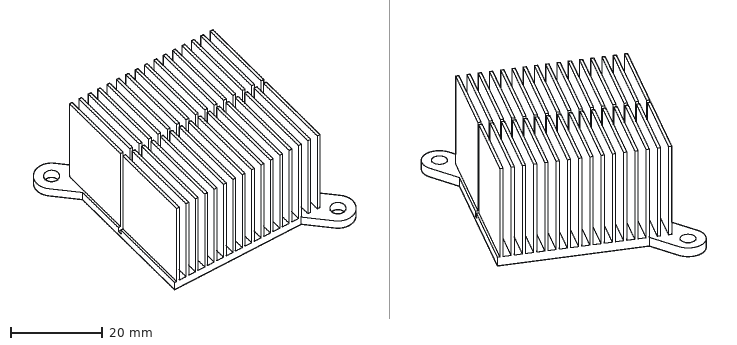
import cadquery as cq
import math

overall_span = 53.0
overall_height = 25.0

base_side = 40.0
base_thickness = 2.3

ear_diameter = 8.0
ear_hole_diameter = 3.5
strap_angle = 45.0
ear_spacing = overall_span - ear_diameter
strap_length = ear_spacing * math.sqrt(2) + ear_diameter

fin_count = 16
fin_thickness = 0.75
fin_pitch = 2.55

slot_width = 0.9
slot_center_x = -0.55
slot_floor_z = 1.05


def make_base():
    return cq.Workplane("XY").rect(base_side, base_side).extrude(base_thickness)


def make_strap():
    return cq.Workplane("XY").slot2D(strap_length, ear_diameter, strap_angle).extrude(base_thickness)


def make_fins():
    return (
        cq.Workplane("XY")
        .rarray(0.55, fin_pitch, 1, fin_count)
        .rect(base_side, fin_thickness)
        .extrude(overall_height)
    )


def make_ear_holes():
    ear_offset = ear_spacing / 2
    return (
        cq.Workplane("XY")
        .pushPoints([(-ear_offset, -ear_offset), (ear_offset, ear_offset)])
        .circle(ear_hole_diameter / 2)
        .extrude(base_thickness)
    )


def make_cross_slot():
    return (
        cq.Workplane("XY", origin=(slot_center_x, 0, slot_floor_z))
        .rect(slot_width, base_side)
        .extrude(overall_height - slot_floor_z)
    )


body = make_base().union(make_strap()).union(make_fins())
result = body.cut(make_ear_holes()).cut(make_cross_slot())